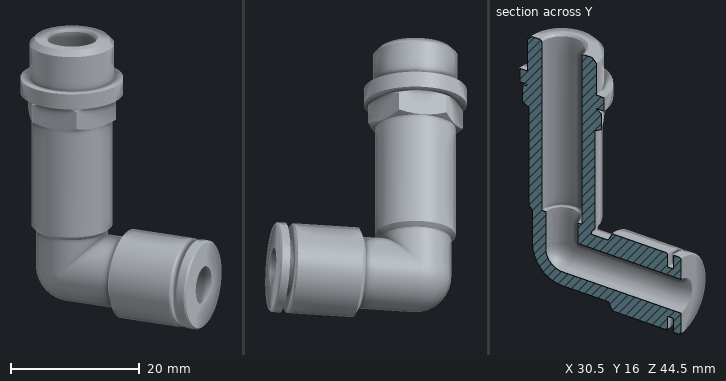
import cadquery as cq
import math


elbow_diameter = 11.2
bore_diameter = 6.0

leg_top = 37.5
thread_diameter = 13.16
thread_length = 6.5
thread_chamfer = 0.86
flange_diameter = 16.0
flange_thickness = 2.5
hex_sides = 6
hex_across_flats = 13.0
hex_height = 4.0
hex_bevel_angle = 30.0
barrel_diameter = 12.6
barrel_bottom = 6.1
mouth_bore_diameter = 7.52
mouth_chamfer = 0.34

flange_top = leg_top - thread_length
flange_bottom = flange_top - flange_thickness
hex_bottom = flange_bottom - hex_height
barrel_chamfer = (barrel_diameter - elbow_diameter) / 2
barrel_edge = barrel_bottom + barrel_chamfer

tube_end = 22.5
collar_diameter = 14.0
collar_start = 8.7
collar_end = 20.0
collar_taper_angle = 30.0
release_ring_thickness = 1.5
release_neck_diameter = 9.0
edge_chamfer = 0.25

release_ring_start = tube_end - release_ring_thickness
collar_taper_length = (collar_diameter - elbow_diameter) / 2 * math.tan(math.radians(collar_taper_angle))


def cylinder_z(diameter, bottom, top):
    """Cylinder on the Z axis between two heights."""
    return cq.Workplane("XY").workplane(offset=bottom).circle(diameter / 2).extrude(top - bottom)


def cylinder_x(diameter, start, end):
    """Cylinder on the X axis between two distances."""
    return cq.Workplane("YZ").workplane(offset=start).circle(diameter / 2).extrude(end - start)


def elbow_run(diameter, top, end):
    """Round run from +Z to +X with a spherical outer corner."""
    corner = cq.Workplane("XY").sphere(diameter / 2)
    return corner.union(cylinder_z(diameter, 0, top)).union(cylinder_x(diameter, 0, end))


def hexagon():
    """Hexagon with corners on the X axis and both ends bevelled down to the flats."""
    across_corners = hex_across_flats / math.cos(math.pi / hex_sides)
    bevel_width = (across_corners - hex_across_flats) / 2
    bevel_height = bevel_width * math.tan(math.radians(hex_bevel_angle))
    prism = (
        cq.Workplane("XY").workplane(offset=hex_bottom)
        .polygon(hex_sides, across_corners).extrude(hex_height)
    )
    bevelled_blank = (
        cylinder_z(across_corners, hex_bottom, flange_bottom)
        .faces("<Z or >Z").edges().chamfer(bevel_height, bevel_width)
    )
    return prism.intersect(bevelled_blank)


def threaded_leg():
    barrel = cylinder_z(barrel_diameter, barrel_bottom, hex_bottom)
    barrel = barrel.faces("<Z").edges().chamfer(barrel_chamfer)
    flange = cylinder_z(flange_diameter, flange_bottom, flange_top)
    thread = cylinder_z(thread_diameter, flange_top, leg_top)
    thread = thread.faces(">Z").edges().chamfer(thread_chamfer)
    return barrel.union(hexagon()).union(flange).union(thread)


def tube_leg():
    """Collar, narrow neck and release ring as one profile turned about the X axis."""
    elbow_radius = elbow_diameter / 2
    collar_radius = collar_diameter / 2
    neck_radius = release_neck_diameter / 2
    profile = [
        (collar_start, 0),
        (collar_start, elbow_radius),
        (collar_start + collar_taper_length, collar_radius),
        (collar_end - edge_chamfer, collar_radius),
        (collar_end, collar_radius - edge_chamfer),
        (collar_end, neck_radius),
        (release_ring_start, neck_radius),
        (release_ring_start, collar_radius),
        (tube_end - edge_chamfer, collar_radius),
        (tube_end, collar_radius - edge_chamfer),
        (tube_end, 0),
    ]
    return cq.Workplane("XZ").polyline(profile).close().revolve(360, (0, 0, 0), (1, 0, 0))


def mouth_bore():
    """Wider bore through the thread and barrel, chamfered at its mouth."""
    bore = cylinder_z(mouth_bore_diameter, barrel_edge, leg_top)
    mouth = cq.Workplane("XY").add(
        cq.Solid.makeCone(
            mouth_bore_diameter / 2,
            mouth_bore_diameter / 2 + mouth_chamfer,
            mouth_chamfer,
            pnt=cq.Vector(0, 0, leg_top - mouth_chamfer),
        )
    )
    return bore.union(mouth)


outer_body = (
    elbow_run(elbow_diameter, barrel_bottom, collar_start)
    .union(threaded_leg())
    .union(tube_leg())
)
result = outer_body.cut(elbow_run(bore_diameter, leg_top, tube_end)).cut(mouth_bore())